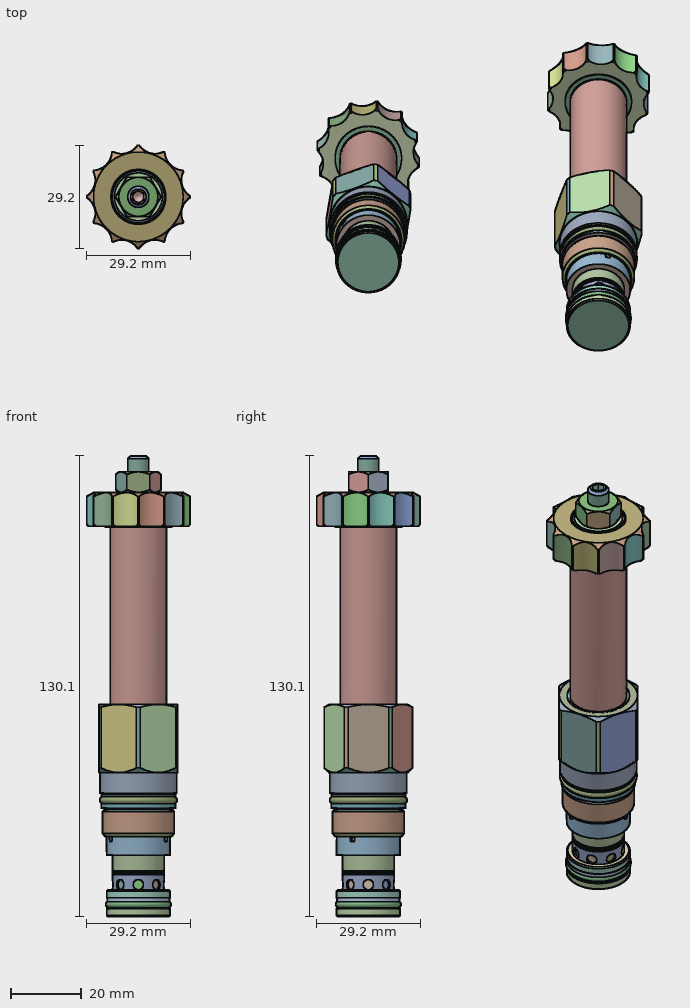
import cadquery as cq
import math


TOTAL_HEIGHT = 130.07

CORNER_ON_X = 0
FLAT_ON_X = 30

NOSE_R = 9.0
NOSE_TOP_Z = 7.6
NOSE_CHAMFER = 0.4
LOWER_GLAND_R = 8.5
LOWER_GLAND_BOTTOM_Z = 2.2
LOWER_RING_BOTTOM_Z = 2.6
LOWER_RING_TOP_Z = 4.2
LOWER_RING_R = 9.25
BACKUP_RING_R = 8.85
BACKUP_RING_TOP_Z = 5.4

NECK_R = 7.35
NECK_TOP_Z = 17.4
NECK_GROOVE_DEPTH = 0.3
NECK_GROOVE_WIDTH = 0.4
NECK_GROOVES_Z = (12.05, 12.85)

PILOT_LAND_R = NOSE_R
PILOT_LAND_TOP_Z = 22.6
THREAD_R = 10.15
THREAD_BOTTOM_R = 9.4
THREAD_BOTTOM_Z = 23.6
THREAD_TOP_Z = 30.2
THREAD_CHAMFER = 0.5
UNDERCUT_R = 8.8
UNDERCUT_TOP_Z = 30.65

SEAL_LAND_R = 10.5
SEAL_LAND_TOP_Z = 34.5
SEAL_GAP_R = 9.9
UPPER_RING_BOTTOM_Z = 31.95
UPPER_RING_TOP_Z = 33.85
UPPER_RING_R = 10.95
UPPER_RING_EDGE_R = 10.2
SHOULDER_R = 10.9
SHOULDER_BOTTOM_Z = 34.9

PORT_COUNT = 8
PORT_START_ANGLE = 0
PORT_DIA = 2.9
PORT_Z = 9.05
PORT_DEPTH = 0.7
BLEED_COUNT = 3
BLEED_START_ANGLE = 90
BLEED_DIA = 1.5
BLEED_Z = 21.9
BLEED_DEPTH = 1.0

HEX_FLATS = 22.22
HEX_CORNER_R = 12.5
HEX_BOTTOM_Z = 40.6
HEX_TOP_Z = 59.95
HEX_FACE_R = 11.0
HEX_BOTTOM_CHAMFER = 1.4
HEX_TOP_CHAMFER = 0.8
HEX_RECESS_R = 8.8
HEX_RECESS_DEPTH = 0.3

TUBE_R = 8.0
TUBE_TOP_Z = 109.9
KNOB_TOP_Z = 119.75
PAD_R = 6.75
PAD_HEIGHT = 0.15
SPIGOT_R = 7.75
SPIGOT_CHAMFER = 0.4
SPIGOT_TOP_Z = KNOB_TOP_Z - PAD_HEIGHT

NUT_FLATS = 11.15
NUT_TOP_Z = 125.6
NUT_FACE_R = 5.5
NUT_CHAMFER = 0.8
STEM_R = 3.0
STEM_CHAMFER = 0.8
SOCKET_FLATS = 3.18
SOCKET_DEPTH = 4.0
SOCKET_TIP_DEPTH = 1.0

KNOB_R = 29.21 / 2
KNOB_LOBES = 12
KNOB_TIP_WIDTH = 0.45
KNOB_VALLEY_R = 12.8
KNOB_FACE_R = 12.65
KNOB_BOTTOM_Z = 110.2
KNOB_TOP_CHAMFER_ANGLE = 30
KNOB_BOTTOM_CHAMFER = 0.5
KNOB_LIP_R = 9.4


def polar(radius, degrees):
    angle = math.radians(degrees)
    return (radius * math.cos(angle), radius * math.sin(angle))


def disc(radius, bottom_z, top_z):
    return cq.Workplane("XY").workplane(offset=bottom_z).circle(radius).extrude(top_z - bottom_z)


def ring(outer_r, inner_r, bottom_z, top_z):
    return disc(outer_r, bottom_z, top_z).cut(disc(inner_r, bottom_z, top_z))


def revolved(profile):
    return profile.close().revolve(360, (0, 0, 0), (0, 1, 0))


def hexagon(flats, bottom_z, top_z, turn):
    """Hexagonal prism with a corner on +X, turned about Z."""
    corner_dia = flats / math.cos(math.pi / 6)
    prism = cq.Workplane("XY").workplane(offset=bottom_z).polygon(6, corner_dia).extrude(top_z - bottom_z)
    return prism.rotate((0, 0, 0), (0, 0, 1), turn)


def chamfered_blank(face_r, full_r, bottom_z, top_z, bottom_chamfer, top_chamfer):
    """Round blank whose coned ends narrow from full_r to face_r."""
    return revolved(
        cq.Workplane("XZ")
        .moveTo(0, bottom_z)
        .lineTo(face_r, bottom_z)
        .lineTo(full_r, bottom_z + bottom_chamfer)
        .lineTo(full_r, top_z - top_chamfer)
        .lineTo(face_r, top_z)
        .lineTo(0, top_z)
    )


def radial_holes(count, start_angle, dia, z, surface_r, depth):
    """Blind flat-bottomed holes drilled towards the axis."""
    drill_plane = cq.Workplane("YZ").workplane(offset=surface_r - depth)
    drill = drill_plane.center(0, z).circle(dia / 2).extrude(2 * depth)
    holes = cq.Workplane("XY")
    for index in range(count):
        angle = start_angle + index * 360 / count
        holes = holes.add(drill.rotate((0, 0, 0), (0, 0, 1), angle))
    return holes.combine()


def make_valve_end():
    """Turned end below the hex, with both seal rings shown as round bulges."""
    lower_ring_mid_z = (LOWER_RING_BOTTOM_Z + LOWER_RING_TOP_Z) / 2
    upper_ring_mid_z = (UPPER_RING_BOTTOM_Z + UPPER_RING_TOP_Z) / 2
    body = revolved(
        cq.Workplane("XZ")
        .moveTo(0, 0)
        .lineTo(NOSE_R - NOSE_CHAMFER, 0)
        .lineTo(NOSE_R, NOSE_CHAMFER)
        .lineTo(NOSE_R, LOWER_GLAND_BOTTOM_Z)
        .lineTo(LOWER_GLAND_R, LOWER_GLAND_BOTTOM_Z)
        .lineTo(LOWER_GLAND_R, LOWER_RING_BOTTOM_Z)
        .threePointArc((LOWER_RING_R, lower_ring_mid_z), (BACKUP_RING_R, LOWER_RING_TOP_Z))
        .lineTo(BACKUP_RING_R, BACKUP_RING_TOP_Z)
        .lineTo(NOSE_R, BACKUP_RING_TOP_Z)
        .lineTo(NOSE_R, NOSE_TOP_Z - NOSE_CHAMFER)
        .lineTo(NOSE_R - NOSE_CHAMFER, NOSE_TOP_Z)
        .lineTo(NECK_R, NOSE_TOP_Z)
        .lineTo(NECK_R, NECK_TOP_Z)
        .lineTo(PILOT_LAND_R, NECK_TOP_Z)
        .lineTo(PILOT_LAND_R, PILOT_LAND_TOP_Z)
        .lineTo(THREAD_BOTTOM_R, PILOT_LAND_TOP_Z)
        .lineTo(THREAD_R, THREAD_BOTTOM_Z)
        .lineTo(THREAD_R, THREAD_TOP_Z - THREAD_CHAMFER)
        .lineTo(THREAD_R - THREAD_CHAMFER, THREAD_TOP_Z)
        .lineTo(UNDERCUT_R, THREAD_TOP_Z)
        .lineTo(UNDERCUT_R, UNDERCUT_TOP_Z)
        .lineTo(SEAL_LAND_R, UNDERCUT_TOP_Z)
        .lineTo(SEAL_LAND_R, UPPER_RING_BOTTOM_Z)
        .lineTo(UPPER_RING_EDGE_R, UPPER_RING_BOTTOM_Z)
        .threePointArc((UPPER_RING_R, upper_ring_mid_z), (UPPER_RING_EDGE_R, UPPER_RING_TOP_Z))
        .lineTo(SEAL_LAND_R, UPPER_RING_TOP_Z)
        .lineTo(SEAL_LAND_R, SEAL_LAND_TOP_Z)
        .lineTo(SEAL_GAP_R, SEAL_LAND_TOP_Z)
        .lineTo(SEAL_GAP_R, SHOULDER_BOTTOM_Z)
        .lineTo(SHOULDER_R, SHOULDER_BOTTOM_Z)
        .lineTo(SHOULDER_R, HEX_BOTTOM_Z)
        .lineTo(0, HEX_BOTTOM_Z)
    )

    half_neck_groove = NECK_GROOVE_WIDTH / 2
    for z in NECK_GROOVES_Z:
        body = body.cut(ring(NECK_R, NECK_R - NECK_GROOVE_DEPTH, z - half_neck_groove, z + half_neck_groove))

    ports = radial_holes(PORT_COUNT, PORT_START_ANGLE, PORT_DIA, PORT_Z, NECK_R, PORT_DEPTH)
    bleeds = radial_holes(BLEED_COUNT, BLEED_START_ANGLE, BLEED_DIA, BLEED_Z, PILOT_LAND_R, BLEED_DEPTH)
    return body.cut(ports).cut(bleeds)


def make_hex():
    """Large hex with flats on +X and -X, trimmed corners and a shallow recess around the tube."""
    blank = chamfered_blank(
        HEX_FACE_R, HEX_CORNER_R, HEX_BOTTOM_Z, HEX_TOP_Z, HEX_BOTTOM_CHAMFER, HEX_TOP_CHAMFER
    )
    body = hexagon(HEX_FLATS, HEX_BOTTOM_Z, HEX_TOP_Z, FLAT_ON_X).intersect(blank)
    return body.cut(disc(HEX_RECESS_R, HEX_TOP_Z - HEX_RECESS_DEPTH, HEX_TOP_Z))


def make_tube():
    """Tube, its reduced spigot inside the knob and the pad under the lock nut."""
    tube = disc(TUBE_R, HEX_TOP_Z - HEX_RECESS_DEPTH, TUBE_TOP_Z)
    spigot = disc(SPIGOT_R, TUBE_TOP_Z, SPIGOT_TOP_Z).faces(">Z").chamfer(SPIGOT_CHAMFER)
    pad = disc(PAD_R, SPIGOT_TOP_Z, KNOB_TOP_Z)
    return tube.union(spigot).union(pad)


def make_lock_nut():
    """Lock nut with corners on +X and -X."""
    corner_r = NUT_FLATS / 2 / math.cos(math.pi / 6)
    blank = chamfered_blank(NUT_FACE_R, corner_r, KNOB_TOP_Z, NUT_TOP_Z, NUT_CHAMFER, NUT_CHAMFER)
    return hexagon(NUT_FLATS, KNOB_TOP_Z, NUT_TOP_Z, CORNER_ON_X).intersect(blank)


def make_stem():
    """Adjusting stem above the lock nut."""
    return disc(STEM_R, NUT_TOP_Z, TOTAL_HEIGHT).faces(">Z").chamfer(STEM_CHAMFER)


def make_socket():
    """Hex socket cutter for the stem, ending in a cone."""
    floor_z = TOTAL_HEIGHT - SOCKET_DEPTH
    tip = revolved(
        cq.Workplane("XZ")
        .moveTo(0, floor_z - SOCKET_TIP_DEPTH)
        .lineTo(SOCKET_FLATS / 2, floor_z)
        .lineTo(0, floor_z)
    )
    return hexagon(SOCKET_FLATS, floor_z, TOTAL_HEIGHT, FLAT_ON_X).union(tip)


def make_cartridge():
    body = make_valve_end().union(make_hex()).union(make_tube())
    return body.union(make_lock_nut()).union(make_stem()).cut(make_socket())


def make_knob():
    """Knob with concave scallops between narrow tips, bored to fit the spigot."""
    pitch = 360 / KNOB_LOBES
    tip_half_angle = math.degrees(math.asin(KNOB_TIP_WIDTH / 2 / KNOB_R))
    outline = cq.Workplane("XY").workplane(offset=KNOB_BOTTOM_Z).moveTo(*polar(KNOB_R, -tip_half_angle))
    for index in range(KNOB_LOBES):
        tip = index * pitch
        outline = outline.threePointArc(polar(KNOB_R, tip), polar(KNOB_R, tip + tip_half_angle))
        outline = outline.threePointArc(
            polar(KNOB_VALLEY_R, tip + pitch / 2), polar(KNOB_R, tip + pitch - tip_half_angle)
        )
    scalloped = outline.close().extrude(KNOB_TOP_Z - KNOB_BOTTOM_Z)

    chamfer_drop = (KNOB_R - KNOB_FACE_R) * math.tan(math.radians(KNOB_TOP_CHAMFER_ANGLE))
    blank = revolved(
        cq.Workplane("XZ")
        .moveTo(0, KNOB_BOTTOM_Z)
        .lineTo(KNOB_R - KNOB_BOTTOM_CHAMFER, KNOB_BOTTOM_Z)
        .lineTo(KNOB_R, KNOB_BOTTOM_Z + KNOB_BOTTOM_CHAMFER)
        .lineTo(KNOB_R, KNOB_TOP_Z - chamfer_drop)
        .lineTo(KNOB_FACE_R, KNOB_TOP_Z)
        .lineTo(0, KNOB_TOP_Z)
    )
    lip = disc(KNOB_LIP_R, TUBE_TOP_Z, KNOB_BOTTOM_Z)
    bore = disc(SPIGOT_R, TUBE_TOP_Z, KNOB_TOP_Z)
    return scalloped.intersect(blank).union(lip).cut(bore)


cartridge = make_cartridge()
knob = make_knob()

result = cq.Compound.makeCompound([cartridge.val(), knob.val()])